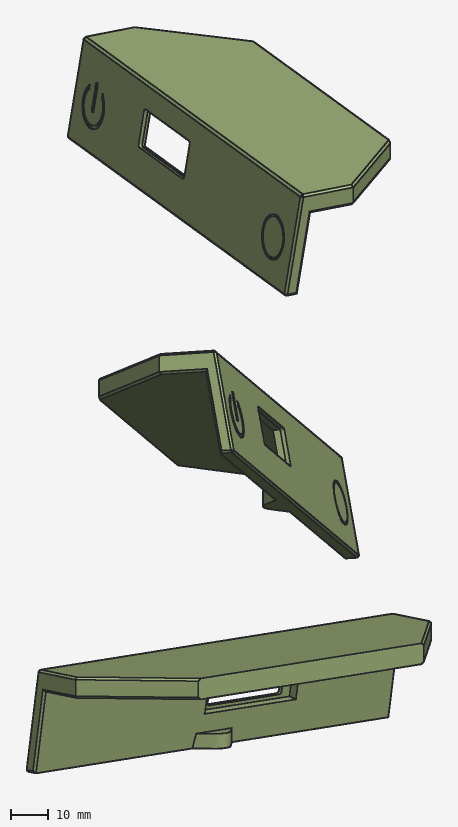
import cadquery as cq
import math

length = 125.5
depth = 43.2
height = 28.1
flange_thickness = 5.6
web_thickness = 3.8
web_tilt = 10.0
corner_cut = 23.0
edge_chamfer = 0.6

window_width = 26.1
window_height = 10.7
window_corner_radius = 0.82
window_x = -12.0
window_z = 16.0
window_lip = 1.1
pocket_side_margin = 3.0
pocket_sill_margin = 1.0

mark_offset_x = 51.5
mark_z = 12.7
ring_outer_diameter = 12.0
ring_inner_diameter = 11.0
power_inner_diameter = 10.3
power_gap_width = 7.3
power_bar_width = 1.1
power_bar_length = 8.3
power_bar_rise = 2.5
engraving_depth = 0.4

tab_height = 4.0
tab_reach = 9.0
tab_tip_radius = 4.0
tab_flank_angle = 45.0

half_length = length / 2
sin_tilt = math.sin(math.radians(web_tilt))
cos_tilt = math.cos(math.radians(web_tilt))
tan_tilt = sin_tilt / cos_tilt
front_foot_y = -edge_chamfer * sin_tilt
web_run = web_thickness / cos_tilt


def front_y(z):
    """Y of the front face of the web at height z."""
    return front_foot_y + z * tan_tilt


def inner_y(z):
    """Y of the inner face of the web at height z."""
    return front_y(z) + web_run


def web_plane(x, z):
    """Plane on the front face of the web, normal pointing outward, local Y up the face."""
    return cq.Plane(
        origin=(x, front_y(z), z),
        xDir=(1, 0, 0),
        normal=(0, -cos_tilt, sin_tilt),
    )


def bent_plate():
    underside = height - flange_thickness
    profile = [
        (front_y(0), 0),
        (inner_y(0), 0),
        (inner_y(underside), underside),
        (depth, underside),
        (depth, height),
        (front_y(height), height),
    ]
    plate = cq.Workplane("YZ").polyline(profile).close().extrude(half_length, both=True)
    for side in (-1, 1):
        corner = (
            cq.Workplane("XY")
            .moveTo(side * half_length, depth)
            .lineTo(side * half_length, depth - corner_cut)
            .lineTo(side * (half_length - corner_cut), depth)
            .close()
            .extrude(height)
        )
        plate = plate.cut(corner)
    return plate


def chamfer_outline(plate):
    """Break the edges around the ends, along the corner cuts and across the front of the web."""
    end_edges = plate.faces("<X or >X").edges("not |Z")
    cut_edges = plate.edges("not (|X or |Y or |Z or #X)")
    front_edges = plate.edges("|X and (<Y or (>Z and (not >Y)))")
    outline_edges = end_edges.add(cut_edges).add(front_edges)
    return plate.newObject(outline_edges.vals()).chamfer(edge_chamfer)


def window():
    """Through opening with a larger pocket behind it that leaves a thin lip."""
    pocket_width = window_width + 2 * pocket_side_margin
    pocket_height = window_height + 2 * pocket_sill_margin
    plane = web_plane(window_x, window_z)
    outline = cq.Sketch().rect(window_width, window_height).vertices().fillet(window_corner_radius)
    opening = cq.Workplane(plane).placeSketch(outline).extrude(-web_thickness)
    pocket = (
        cq.Workplane(plane)
        .workplane(offset=-web_thickness)
        .rect(pocket_width, pocket_height)
        .extrude(web_thickness - window_lip)
    )
    return opening.union(pocket)


def engraved_ring(x, inner_diameter):
    return (
        cq.Workplane(web_plane(x, mark_z))
        .circle(ring_outer_diameter / 2)
        .circle(inner_diameter / 2)
        .extrude(-engraving_depth)
    )


def power_mark():
    """Ring open at the top with an upright bar in the gap."""
    plane = web_plane(-mark_offset_x, mark_z)
    gap = (
        cq.Workplane(plane)
        .center(0, ring_outer_diameter / 2)
        .rect(power_gap_width, ring_outer_diameter)
        .extrude(-engraving_depth)
    )
    bar = (
        cq.Workplane(plane)
        .center(0, power_bar_rise)
        .slot2D(power_bar_length, power_bar_width, 90)
        .extrude(-engraving_depth)
    )
    return engraved_ring(-mark_offset_x, power_inner_diameter).cut(gap).union(bar)


def tab():
    """Tongue with a round tip and flanks that widen toward the web."""
    angle = math.radians(tab_flank_angle)
    root_y = front_y(0) + web_run / 2
    tip_center_y = tab_reach - tab_tip_radius
    tangent_x = tab_tip_radius * math.sin(angle)
    tangent_y = tip_center_y + tab_tip_radius * math.cos(angle)
    root_x = tangent_x + (tangent_y - root_y) / math.tan(angle)
    return (
        cq.Workplane("XY")
        .moveTo(-root_x, root_y)
        .lineTo(-tangent_x, tangent_y)
        .threePointArc((0, tab_reach), (tangent_x, tangent_y))
        .lineTo(root_x, root_y)
        .close()
        .extrude(tab_height)
    )


result = (
    chamfer_outline(bent_plate())
    .union(tab())
    .cut(window())
    .cut(power_mark())
    .cut(engraved_ring(mark_offset_x, ring_inner_diameter))
)